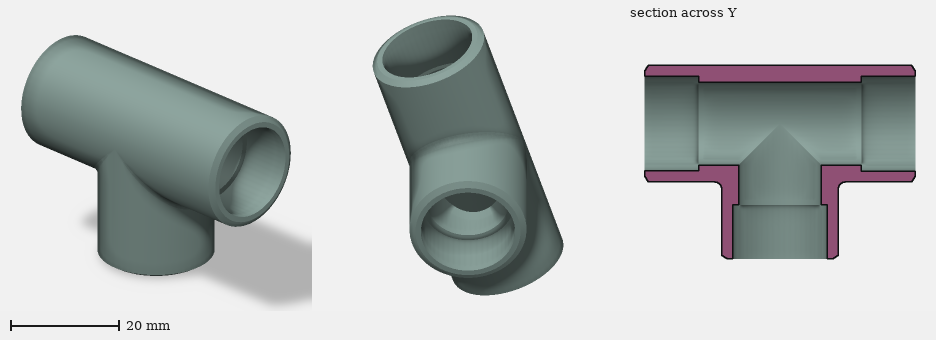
import cadquery as cq

run_length = 50.0
branch_length = 25.0
outer_diameter = 21.6
bore_diameter = 15.2
socket_diameter = 17.4
socket_depth = 10.0
bevel_length = 0.7
bevel_width = 1.1
junction_fillet = 1.2

outer_radius = outer_diameter / 2
half_run = run_length / 2

LEFT = cq.Vector(-1, 0, 0)
RIGHT = cq.Vector(1, 0, 0)
DOWN = cq.Vector(0, 0, -1)

open_ends = [(LEFT, half_run), (RIGHT, half_run), (DOWN, branch_length)]


def cylinder(direction, start, end, diameter):
    """Cylinder centred on an arm, between two distances from the origin."""
    solid = cq.Solid.makeCylinder(diameter / 2, end - start, direction * start, direction)
    return cq.Workplane(solid)


def outer_body():
    """Solid run and branch with a filleted junction.

    The junction edges cross where the equal cylinders touch, so one half is
    filleted on its own and mirrored. Joining it to the full-length tee then
    leaves seamless cylinders.
    """
    run = cylinder(LEFT, -half_run, half_run, outer_diameter)
    branch = cylinder(DOWN, 0, branch_length, outer_diameter)
    sharp_tee = run.union(branch)

    half_run_solid = cylinder(RIGHT, 0, half_run, outer_diameter)
    half_space = cq.Workplane().box(
        half_run, outer_diameter, 2 * branch_length, centered=(False, True, True)
    )
    half_tee = half_run_solid.union(branch.intersect(half_space))
    half_tee = half_tee.edges("%ELLIPSE").fillet(junction_fillet)
    filleted_tee = half_tee.union(half_tee.mirror("YZ"))
    return sharp_tee.union(filleted_tee)


def end_bevel(direction, reach):
    """Ring removed from the outer rim of one end."""
    start = reach - bevel_length
    rim = cylinder(direction, start, reach, outer_diameter)
    cone = cq.Solid.makeCone(
        outer_radius, outer_radius - bevel_width, bevel_length, direction * start, direction
    )
    return rim.cut(cq.Workplane(cone))


def end_bore(direction, reach):
    """Bore of one arm with the wider socket at its open end."""
    bore = cylinder(direction, 0, reach, bore_diameter)
    return bore.union(cylinder(direction, reach - socket_depth, reach, socket_diameter))


result = outer_body()
for direction, reach in open_ends:
    result = result.cut(end_bevel(direction, reach))
    result = result.cut(end_bore(direction, reach))